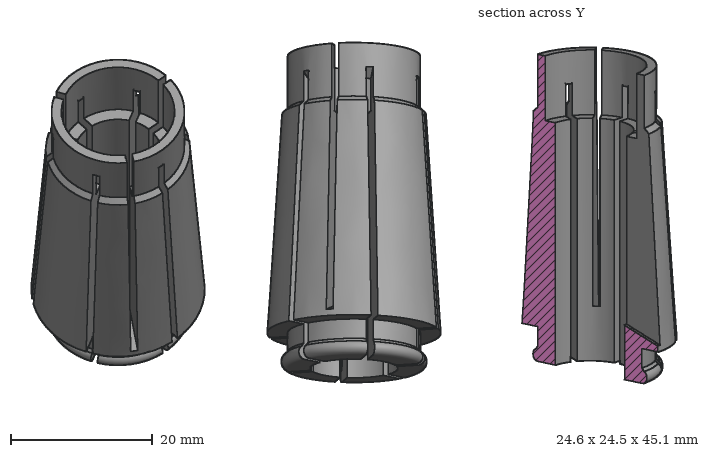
import cadquery as cq
import math

total_height = 45.1
flange_z = 5.1
taper_top_z = 36.65
shoulder_top_z = 37.35
bore_step_z = 35.6

taper_bottom_radius = 12.28
taper_top_radius = 10.2
sleeve_radius = 9.4
sleeve_bore_radius = 8.0
bore_radius = 6.2

lip_radius = 10.3
lip_round = 0.98
lip_flank_end_angle = math.radians(62)
lip_flank_top_z = 2.3

slot_width = 1.0
lower_slot_count = 6
upper_slot_count = 3
lower_slot_spacing = 360 / lower_slot_count
upper_slot_spacing = 360 / upper_slot_count
lower_slot_angles = [lower_slot_spacing * (i + 0.5) for i in range(lower_slot_count)]
upper_slot_angles = [upper_slot_spacing * (i + 0.5) for i in range(upper_slot_count)]
lower_slot_outer_z = 41.65
lower_slot_inner_z = 40.25
upper_slot_outer_z = 6.0
upper_slot_inner_z = 8.05
cut_margin = 2.0


def collet_body():
    """Solid of revolution: lip, neck, tapered body, sleeve and stepped bore."""
    lip_center_r = lip_radius - lip_round
    flank_r = lip_center_r + lip_round * math.cos(lip_flank_end_angle)
    flank_z = lip_round + lip_round * math.sin(lip_flank_end_angle)
    profile = (
        cq.Workplane("XZ")
        .moveTo(bore_radius, 0)
        .lineTo(lip_center_r, 0)
        .threePointArc((lip_radius, lip_round), (flank_r, flank_z))
        .lineTo(sleeve_radius, lip_flank_top_z)
        .lineTo(sleeve_radius, flange_z)
        .lineTo(taper_bottom_radius, flange_z)
        .lineTo(taper_top_radius, taper_top_z)
        .lineTo(sleeve_radius, shoulder_top_z)
        .lineTo(sleeve_radius, total_height)
        .lineTo(sleeve_bore_radius, total_height)
        .lineTo(sleeve_bore_radius, bore_step_z)
        .lineTo(bore_radius, bore_step_z)
        .close()
    )
    return profile.revolve(360, (0, 0, 0), (0, 1, 0))


def slot_cutter(inner_end, outer_end, open_z, angle):
    """Radial slot with a sloped closed end through two (radius, z) points, open at open_z."""
    slope = (outer_end[1] - inner_end[1]) / (outer_end[0] - inner_end[0])
    outside_r = taper_bottom_radius + cut_margin
    outside_z = outer_end[1] + slope * (outside_r - outer_end[0])
    axis_z = inner_end[1] - slope * inner_end[0]
    outline = [(0, axis_z), (outside_r, outside_z), (outside_r, open_z), (0, open_z)]
    cutter = cq.Workplane("XZ").polyline(outline).close().extrude(slot_width / 2, both=True)
    return cutter.rotate((0, 0, 0), (0, 0, 1), angle)


result = collet_body()

for slot_angle in lower_slot_angles:
    result = result.cut(slot_cutter(
        (sleeve_bore_radius, lower_slot_inner_z),
        (sleeve_radius, lower_slot_outer_z),
        -cut_margin,
        slot_angle,
    ))

for slot_angle in upper_slot_angles:
    result = result.cut(slot_cutter(
        (bore_radius, upper_slot_inner_z),
        (taper_bottom_radius, upper_slot_outer_z),
        total_height + cut_margin,
        slot_angle,
    ))